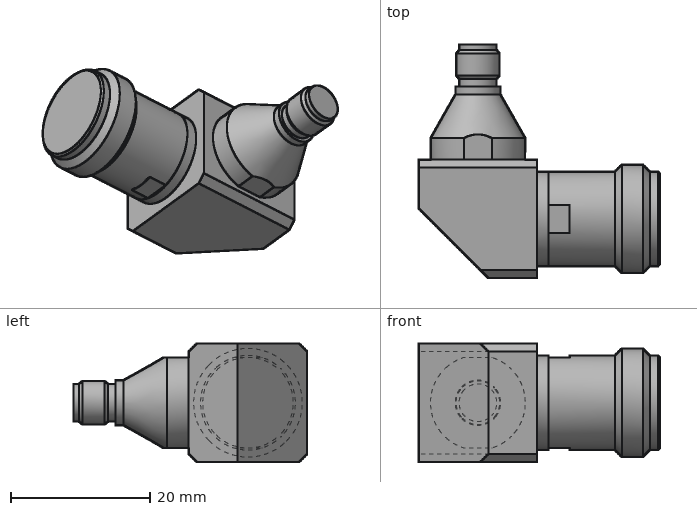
import cadquery as cq


block_size = 17.0
half_block = block_size / 2
corner_cut = 10.0
edge_chamfer = 1.15

barrel_radius = 6.8
flat_half_spacing = 6.5

boss_length = 1.65
large_flat_length = 3.0
ring_start = 11.15
ring_chamfer = 1.0
ring_radius = barrel_radius + ring_chamfer
ring_length = 5.0
large_length = 17.6
tip_chamfer = 0.3

cone_start = 3.1
collar_start = 9.35
collar_end = 10.5
thread_start = 11.55
thread_end = 15.75
small_length = 16.55
collar_radius = 3.25
thread_radius = 3.125
neck_radius = 2.7
thread_bevel_length = 0.5


def cut_flats(body, center, size):
    """Cut a pair of flats facing +Z and -Z on a barrel centred on Z = 0.

    The center and the size are (x, y) pairs.
    """
    depth = barrel_radius - flat_half_spacing
    for side in (1, -1):
        middle_z = side * (flat_half_spacing + depth / 2)
        cutter = cq.Workplane("XY").box(size[0], size[1], depth).translate((*center, middle_z))
        body = body.cut(cutter)
    return body.solids()


def make_block():
    """Square block with its outer corner cut off, and a short round boss under the large connector."""
    block = (
        cq.Workplane("XY")
        .box(block_size, block_size, block_size)
        .edges("|X")
        .chamfer(edge_chamfer)
    )
    corner = (
        cq.Workplane("XY")
        .workplane(offset=-half_block)
        .moveTo(-half_block, -half_block)
        .lineTo(-half_block + corner_cut, -half_block)
        .lineTo(-half_block, -half_block + corner_cut)
        .close()
        .extrude(block_size)
    )
    boss = cq.Workplane("YZ").workplane(offset=half_block).circle(barrel_radius).extrude(boss_length)
    return block.cut(corner).union(boss).solids()


def make_large_connector():
    """Barrel along +X with a bevelled ring near its tip and two flats next to the boss."""
    start = half_block + boss_length
    ring_x = half_block + ring_start
    ring_end = ring_x + ring_length
    tip_x = half_block + large_length
    profile = [
        (start, 0),
        (start, barrel_radius),
        (ring_x, barrel_radius),
        (ring_x + ring_chamfer, ring_radius),
        (ring_end - ring_chamfer, ring_radius),
        (ring_end, barrel_radius),
        (tip_x - tip_chamfer, barrel_radius),
        (tip_x, barrel_radius - tip_chamfer),
        (tip_x, 0),
    ]
    body = cq.Workplane("XY").polyline(profile).close().revolve(360, (0, 0, 0), (1, 0, 0))
    flat_center = (start + large_flat_length / 2, 0)
    return cut_flats(body, flat_center, (large_flat_length, 2 * barrel_radius))


def make_small_connector():
    """Barrel along +Y that tapers to a collar, a neck and a bevelled thread, with two flats at its base."""
    start = half_block
    profile = [
        (0, start),
        (barrel_radius, start),
        (barrel_radius, start + cone_start),
        (collar_radius, start + collar_start),
        (collar_radius, start + collar_end),
        (neck_radius, start + collar_end),
        (neck_radius, start + thread_start),
        (thread_radius, start + thread_start + thread_bevel_length),
        (thread_radius, start + thread_end - thread_bevel_length),
        (neck_radius, start + thread_end),
        (neck_radius, start + small_length),
        (0, start + small_length),
    ]
    body = cq.Workplane("XY").polyline(profile).close().revolve(360, (0, 0, 0), (0, 1, 0))
    flat_center = (0, start + collar_start / 2)
    return cut_flats(body, flat_center, (2 * barrel_radius, collar_start))


block = make_block()
large_connector = make_large_connector()
small_connector = make_small_connector()

result = cq.Compound.makeCompound([block.val(), large_connector.val(), small_connector.val()])